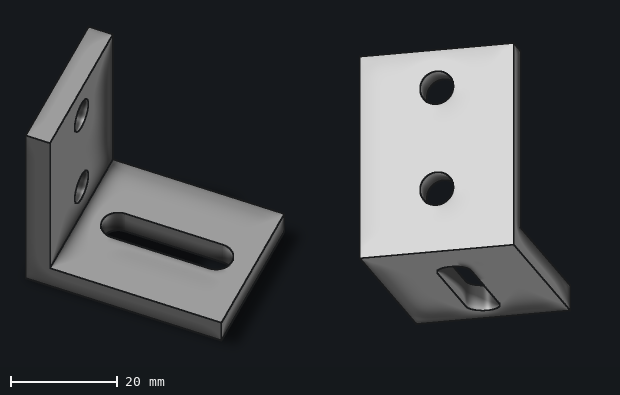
import cadquery as cq

leg_length = 40.0
width = 30.0
thickness = 5.0
hole_diameter = 6.5
hole_spacing = 20.0
end_margin = 7.5

far_center = leg_length - end_margin
near_center = far_center - hole_spacing
middle = (near_center + far_center) / 2


def angle_body():
    """L-shaped profile in XZ, centred across Y."""
    base = cq.Workplane("XY").box(leg_length, width, thickness, centered=(False, True, False))
    wall = cq.Workplane("XY").box(thickness, width, leg_length, centered=(False, True, False))
    return base.union(wall)


def base_slot():
    """Rounded slot along X, through the horizontal leg."""
    slot_length = hole_spacing + hole_diameter
    return cq.Workplane("XY").center(middle, 0).slot2D(slot_length, hole_diameter).extrude(thickness)


def wall_holes():
    """Two round holes along X, through the vertical leg."""
    centers = [(0, near_center), (0, far_center)]
    return cq.Workplane("YZ").pushPoints(centers).circle(hole_diameter / 2).extrude(thickness)


result = angle_body().cut(base_slot()).cut(wall_holes())